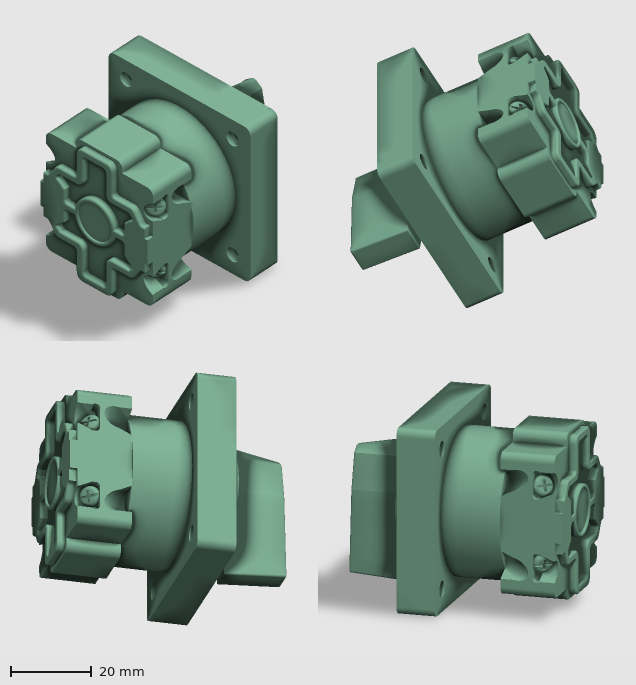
import cadquery as cq
import math


BEZEL_FRONT_Y = 11.35
BEZEL_DEPTH = 7.5
PLATE_DEPTH = 2.5
COLLAR_DEPTH = 2.5
DRUM_DEPTH = 12.75
DECK_DEPTH = 10.0
CAP_DEPTH = 4.0
RIB_HEIGHT = 2.0
PLATE_FRONT_Y = BEZEL_FRONT_Y - BEZEL_DEPTH
COLLAR_FRONT_Y = PLATE_FRONT_Y - PLATE_DEPTH
DRUM_FRONT_Y = COLLAR_FRONT_Y - COLLAR_DEPTH
DECK_FRONT_Y = DRUM_FRONT_Y - DRUM_DEPTH
CAP_FRONT_Y = DECK_FRONT_Y - DECK_DEPTH
RIB_BASE_Y = CAP_FRONT_Y - CAP_DEPTH

PLATE_SIDE = 48.0
CORNER_RADIUS = 2.0
MOUNT_HOLE_DIA = 4.2
MOUNT_HOLE_OFFSET = 18.05

DRUM_DIA = 38.0
ARM_WIDTH = 5.8
ARM_THICKNESS = 2.0
HOOK_NECK_HALF_WIDTH = 3.9
HOOK_HALF_WIDTH = 4.9
HOOK_NECK_X = 16.0
HOOK_SHOULDER_X = 15.6
HOOK_INNER_X = 11.95
HOOK_CHAMFER = 1.45

DECK_HALF_WIDTH = 18.15
DECK_HALF_HEIGHT = 18.35
LOBE_HALF_WIDTH = 7.75
LOBE_HALF_HEIGHT = 21.6

RIB_EDGE_RADIUS = 0.5
WIDE_BEND_RADIUS = 2.0
TIGHT_BEND_RADIUS = 1.0
RIB_END_X = 17.15
TIP_BEND_RADIUS = 0.5
RIB_OUTER_X = 6.0
RIB_OUTER_Z = 20.55
RIB_INNER_X = 3.9
RIB_INNER_Z = 18.45
SHOULDER_OUTER_Z = 11.0
SHOULDER_INNER_Z = 8.95
SHOULDER_OUTER_X = 13.0
RIB_FOOT_X = 15.65
RIB_FOOT_Z = 6.95
SUNKEN_SIDE_X = 10.15
SUNKEN_SIDE_TOP_Z = 5.1
SUNKEN_TIP = [(11.7, SHOULDER_INNER_Z), (13.1, 7.5), (11.8, 6.6)]
RING_OUTER_RADIUS = 6.7
RING_INNER_RADIUS = 5.6
RING_RECESS_DEPTH = 0.55
DIVIDER_HALF_WIDTH = 0.95

SCREW_TILT = 18.0
SCREW_TOP = (-16.05, -24.8, 10.25)
SCREW_HEAD_DIA = 5.4
SCREW_HEAD_HEIGHT = 1.5
SCREW_EDGE_RADIUS = 1.0
SLOT_WIDTH = 0.6
SLOT_DEPTH = 0.6
CROSS_LENGTH = 3.0
CROSS_WIDTH = 0.85
CHANNEL_RADIUS = 2.7
CHANNEL_OFFSET = -0.3
CHANNEL_REACH = 12.0
POCKET_DEPTH = 1.75
POCKET_TOP_Z = 14.4
POCKET_BOTTOM_Z = 7.1
POCKET_FLOOR_X = -13.8
POCKET_CORNER_RADIUS = 1.0

KNOB_DISC_DIA = 27.6
KNOB_DISC_FRONT_Y = 14.85
KNOB_EDGE_RADIUS = 0.5
HANDLE_BACK_Y = 13.05
HANDLE_BACK_BOTTOM_Z = -21.15
HANDLE_BACK_TIP_Z = 15.5
LOFT_END_Y = 31.2
LOFT_END_BOTTOM_Z = -19.9
LOFT_END_TIP_Z = 12.0
HANDLE_HALF_WIDTH = 4.0
HANDLE_BOTTOM_HALF_WIDTH = 3.35
HANDLE_SHOULDER_HALF_WIDTH = 2.7
HANDLE_TIP_HALF_WIDTH = 0.55
HANDLE_FLAT_TOP_Z = 1.7
HANDLE_SHOULDER_Z = 10.9
FRONT_FACE_TOP = (28.65, 18.0)
FRONT_FACE_BOTTOM = (30.1, -22.9)
UNDERSIDE_BOTTOM = (14.0, -22.9)
UNDERSIDE_BEND_Z = -12.6


def xz_plane(y):
    """Sketch plane at the given Y, with local x = X, local y = Z and its normal along -Y."""
    return cq.Workplane("XZ", origin=(0, y, 0))


def mirror_x(points):
    return [(-x, z) for x, z in reversed(points)]


def mirror_z(points):
    return [(x, -z) for x, z in reversed(points)]


def four_corners(shape):
    """Copies of a shape made for the -X, +Z corner, mirrored into all four corners."""
    left = [shape, shape.mirror("XY")]
    return left + [item.mirror("YZ") for item in left]


def square_slab(front_y, depth):
    return xz_plane(front_y).rect(PLATE_SIDE, PLATE_SIDE).extrude(depth).edges("|Y").fillet(CORNER_RADIUS)


def handle_outline(bottom_z, tip_z):
    right = [
        (HANDLE_BOTTOM_HALF_WIDTH, bottom_z),
        (HANDLE_HALF_WIDTH, 0),
        (HANDLE_HALF_WIDTH, HANDLE_FLAT_TOP_Z),
        (HANDLE_SHOULDER_HALF_WIDTH, HANDLE_SHOULDER_Z),
        (HANDLE_TIP_HALF_WIDTH, tip_z),
    ]
    return right + mirror_x(right)


def make_knob():
    blank = (
        xz_plane(HANDLE_BACK_Y)
        .polyline(handle_outline(HANDLE_BACK_BOTTOM_Z, HANDLE_BACK_TIP_Z)).close()
        .workplane(offset=HANDLE_BACK_Y - LOFT_END_Y)
        .polyline(handle_outline(LOFT_END_BOTTOM_Z, LOFT_END_TIP_Z)).close()
        .loft(ruled=True)
    )
    side_profile = [
        (HANDLE_BACK_Y, FRONT_FACE_TOP[1]),
        FRONT_FACE_TOP,
        FRONT_FACE_BOTTOM,
        UNDERSIDE_BOTTOM,
        (HANDLE_BACK_Y, UNDERSIDE_BEND_Z),
    ]
    envelope = cq.Workplane("YZ").polyline(side_profile).close().extrude(2 * HANDLE_HALF_WIDTH, both=True)
    handle = blank.intersect(envelope)
    handle = handle.faces(">Y or <Z").edges("not(<Y)").fillet(KNOB_EDGE_RADIUS)
    disc = (
        xz_plane(KNOB_DISC_FRONT_Y).circle(KNOB_DISC_DIA / 2)
        .extrude(KNOB_DISC_FRONT_Y - BEZEL_FRONT_Y)
        .faces(">Y").edges().fillet(KNOB_EDGE_RADIUS)
    )
    return disc.union(handle)


def make_bezel():
    return square_slab(BEZEL_FRONT_Y, BEZEL_DEPTH)


def make_mounting_plate():
    holes = (
        xz_plane(PLATE_FRONT_Y)
        .rect(2 * MOUNT_HOLE_OFFSET, 2 * MOUNT_HOLE_OFFSET, forConstruction=True)
        .vertices().circle(MOUNT_HOLE_DIA / 2).extrude(PLATE_DEPTH)
    )
    collar = xz_plane(COLLAR_FRONT_Y).circle(DRUM_DIA / 2).extrude(COLLAR_DEPTH)
    return square_slab(PLATE_FRONT_Y, PLATE_DEPTH).cut(holes).union(collar)


def make_latch_arm():
    """Latch arm on the +X side: a flat arm along the deck and a hook lying on the cap."""
    arm = (
        xz_plane(DECK_FRONT_Y)
        .center(DECK_HALF_WIDTH - ARM_THICKNESS / 2, 0)
        .rect(ARM_THICKNESS, ARM_WIDTH)
        .extrude(DECK_DEPTH + CAP_DEPTH)
    )
    upper = [
        (DECK_HALF_WIDTH, HOOK_NECK_HALF_WIDTH),
        (HOOK_NECK_X, HOOK_NECK_HALF_WIDTH),
        (HOOK_SHOULDER_X, HOOK_HALF_WIDTH),
        (HOOK_INNER_X + HOOK_CHAMFER, HOOK_HALF_WIDTH),
        (HOOK_INNER_X, HOOK_HALF_WIDTH - HOOK_CHAMFER),
    ]
    hook = xz_plane(RIB_BASE_Y).polyline(upper + mirror_z(upper)).close().extrude(RIB_HEIGHT)
    return arm.union(hook)


def make_latch_arms():
    arm = make_latch_arm()
    return [arm, arm.mirror("YZ")]


def make_drum():
    drum = xz_plane(DRUM_FRONT_Y).circle(DRUM_DIA / 2).extrude(DRUM_DEPTH)
    for arm in make_latch_arms():
        drum = drum.union(arm)
    return drum


def screw_plane(y_shift=0):
    """Plane on the screw axis of the -X, +Z corner: local x points to (-X, +Y), normal points out."""
    tilt = math.radians(SCREW_TILT)
    horizontal = math.cos(tilt) / math.sqrt(2)
    x, y, z = SCREW_TOP
    return cq.Workplane(cq.Plane(
        origin=(x, y + y_shift, z),
        xDir=(-1, 1, 0),
        normal=(-horizontal, -horizontal, math.sin(tilt)),
    ))


def make_screw():
    head = screw_plane().circle(SCREW_HEAD_DIA / 2).extrude(-SCREW_HEAD_HEIGHT)
    head_top = cq.selectors.NearestToPointSelector(SCREW_TOP)
    head = head.faces(head_top).edges().fillet(SCREW_EDGE_RADIUS)
    slot = screw_plane().rect(SCREW_HEAD_DIA, SLOT_WIDTH).extrude(-SLOT_DEPTH)
    cross = screw_plane().rect(CROSS_WIDTH, CROSS_LENGTH).extrude(-SLOT_DEPTH)
    return head.cut(slot).cut(cross)


def make_screw_seat():
    return screw_plane().circle(SCREW_HEAD_DIA / 2).extrude(-SCREW_HEAD_HEIGHT)


def make_access_channel(y_shift):
    """Channel along the screw axis: round on the inside, flaring out towards the deck side."""
    flare = math.atan(math.sin(math.radians(SCREW_TILT)))
    mouth_y = CHANNEL_RADIUS + CHANNEL_REACH * math.tan(flare)
    return (
        screw_plane(y_shift).workplane(offset=-CHANNEL_REACH).center(CHANNEL_OFFSET, 0)
        .moveTo(CHANNEL_REACH, mouth_y)
        .lineTo(0, CHANNEL_RADIUS)
        .threePointArc((-CHANNEL_RADIUS, 0), (0, -CHANNEL_RADIUS))
        .lineTo(CHANNEL_REACH, -mouth_y)
        .close()
        .extrude(2 * CHANNEL_REACH)
    )


def make_terminal_pocket():
    """Pocket in the deck around a screw, open to the side and to the cap."""
    length = DECK_HALF_WIDTH + POCKET_FLOOR_X
    height = POCKET_TOP_Z - POCKET_BOTTOM_Z
    return (
        cq.Workplane("XY")
        .box(length, POCKET_DEPTH, height, centered=False)
        .translate((-DECK_HALF_WIDTH, CAP_FRONT_Y, POCKET_BOTTOM_Z))
        .edges("|X and >Y").fillet(POCKET_CORNER_RADIUS)
    )


def deck_slab(front_y, depth):
    """Rectangle with a lobe above and below, all outer corners rounded alike."""
    body = xz_plane(front_y).rect(2 * DECK_HALF_WIDTH, 2 * DECK_HALF_HEIGHT).extrude(depth)
    lobes = xz_plane(front_y).rect(2 * LOBE_HALF_WIDTH, 2 * LOBE_HALF_HEIGHT).extrude(depth)
    return body.edges("|Y").fillet(CORNER_RADIUS).union(lobes.edges("|Y").fillet(CORNER_RADIUS))


def make_deck():
    deck = deck_slab(DECK_FRONT_Y, DECK_DEPTH)
    for cutter in (make_access_channel(DECK_DEPTH), make_terminal_pocket(), make_screw_seat()):
        for corner in four_corners(cutter):
            deck = deck.cut(corner)
    for arm in make_latch_arms():
        deck = deck.cut(arm)
    return deck


def round_corners(solid, points, radius):
    """Fillet the edges along Y at the given (x, z) points, in all four quadrants."""
    margin = 0.2
    for x, z in points:
        for corner_x in (x, -x):
            for corner_z in (z, -z):
                low = (corner_x - margin, RIB_BASE_Y - RIB_HEIGHT - margin, corner_z - margin)
                high = (corner_x + margin, RIB_BASE_Y + margin, corner_z + margin)
                edge = solid.edges("|Y").edges(cq.selectors.BoxSelector(low, high))
                solid = edge.fillet(radius)
    return solid


def make_raised_area():
    """Cross-shaped area enclosed by the outer wall of the ribs."""
    top = (RIB_OUTER_X, RIB_OUTER_Z)
    inside_bend = (RIB_OUTER_X, SHOULDER_OUTER_Z)
    shoulder = (SHOULDER_OUTER_X, SHOULDER_OUTER_Z)
    foot = (RIB_FOOT_X, RIB_FOOT_Z)
    right_top = [top, inside_bend, shoulder, foot, (RIB_END_X, RIB_FOOT_Z)]
    right = right_top + mirror_z(right_top)
    area = xz_plane(RIB_BASE_Y).polyline(right + mirror_x(right)).close().extrude(RIB_HEIGHT)
    area = round_corners(area, [top, shoulder], WIDE_BEND_RADIUS)
    return round_corners(area, [inside_bend, foot], TIGHT_BEND_RADIUS)


def make_sunken_areas():
    """Floor areas inside the ribs, one above and one below the divider."""
    top = (RIB_INNER_X, RIB_INNER_Z)
    inside_bend = (RIB_INNER_X, SHOULDER_INNER_Z)
    bottom = (SUNKEN_SIDE_X, DIVIDER_HALF_WIDTH)
    right = [top, inside_bend, *SUNKEN_TIP, (SUNKEN_SIDE_X, SUNKEN_SIDE_TOP_Z), bottom]
    outline = right + mirror_x(right)
    upper = xz_plane(RIB_BASE_Y).polyline(outline).close().extrude(RIB_HEIGHT)
    sunken = upper.union(upper.mirror("XY"))
    sunken = round_corners(sunken, [top, bottom], TIGHT_BEND_RADIUS)
    sunken = round_corners(sunken, [SUNKEN_TIP[1]], TIP_BEND_RADIUS)
    sunken = round_corners(sunken, [inside_bend], WIDE_BEND_RADIUS)
    ring = xz_plane(RIB_BASE_Y).circle(RING_OUTER_RADIUS).extrude(RIB_HEIGHT)
    return sunken.cut(ring)


def make_ribs():
    """Rounded ribs around the sunken areas, with a shallow round recess inside the central ring."""
    recess = xz_plane(RIB_BASE_Y - RIB_HEIGHT).circle(RING_INNER_RADIUS).extrude(-RING_RECESS_DEPTH)
    ribs = make_raised_area().cut(make_sunken_areas()).cut(recess)
    return ribs.faces("<Y").edges("not(<X or >X)").fillet(RIB_EDGE_RADIUS)


def make_cap():
    cap = deck_slab(CAP_FRONT_Y, CAP_DEPTH)
    for cutter in (make_access_channel(0), make_screw_seat()):
        for corner in four_corners(cutter):
            cap = cap.cut(corner)
    cap = cap.union(make_ribs())
    for arm in make_latch_arms():
        cap = cap.cut(arm)
    return cap


knob = make_knob()
bezel = make_bezel()
mounting_plate = make_mounting_plate()
drum = make_drum()
deck = make_deck()
cap = make_cap()
screws = four_corners(make_screw())

result = cq.Compound.makeCompound([
    knob.val(),
    bezel.val(),
    mounting_plate.val(),
    drum.val(),
    deck.val(),
    cap.val(),
    *[screw.val() for screw in screws],
])